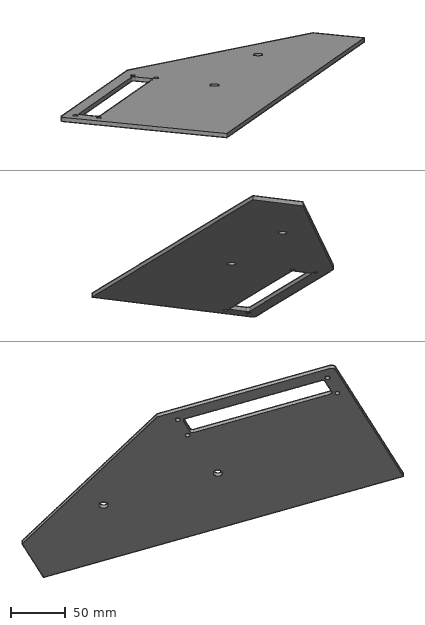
import cadquery as cq

width = 162.5
length = 356.0
thickness = 4.0
top_edge_width = 50.0
left_edge_length = 175.0
corner_radius = 4.0

window_width = 20.3
window_length = 140.0
window_radius = 2.5
window_center_from_left = 22.45
window_center_from_bottom = 85.0

screw_diameter = 4.3
screw_spacing_x = 22.8
screw_spacing_y = 148.0

mount_diameter = 8.2
mount_from_right = 70.0
mount_spacing = 113.0
upper_mount_from_top = 89.0

left = -width / 2
right = width / 2
bottom = -length / 2
top = length / 2
window_center = (left + window_center_from_left, bottom + window_center_from_bottom)


def plate():
    """Flat plate with a sloped upper left side and rounded ends on its left edge."""
    outline = [
        (left, bottom),
        (right, bottom),
        (right, top),
        (right - top_edge_width, top),
        (left, bottom + left_edge_length),
    ]
    blank = cq.Workplane("XY").polyline(outline).close().extrude(thickness)
    return blank.edges("|Z").edges("<X").fillet(corner_radius)


def window():
    """Cutter for the long rectangular opening."""
    opening = cq.Workplane("XY").center(*window_center).rect(window_width, window_length)
    block = opening.extrude(thickness)
    return block.edges("|Z").fillet(window_radius)


def screw_holes():
    """Cutter for the four screw holes at the window corners."""
    return (
        cq.Workplane("XY")
        .center(*window_center)
        .rect(screw_spacing_x, screw_spacing_y, forConstruction=True)
        .vertices()
        .circle(screw_diameter / 2)
        .extrude(thickness)
    )


def mount_holes():
    """Cutter for the two larger holes, in line along Y."""
    x = right - mount_from_right
    upper_y = top - upper_mount_from_top
    centers = [(x, upper_y), (x, upper_y - mount_spacing)]
    return cq.Workplane("XY").pushPoints(centers).circle(mount_diameter / 2).extrude(thickness)


result = plate().cut(window()).cut(screw_holes()).cut(mount_holes())